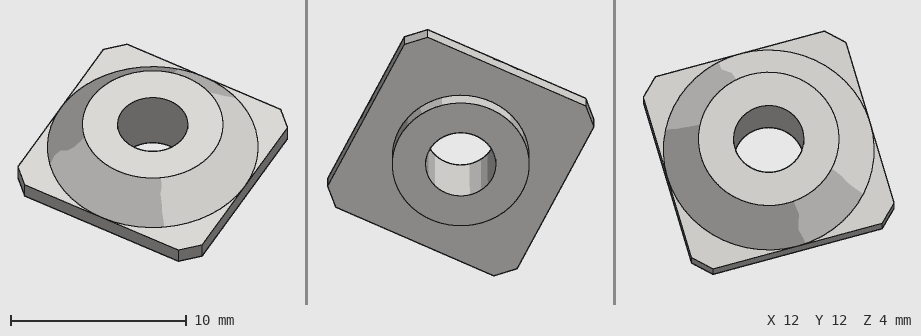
import cadquery as cq

plate_side = 12.0
plate_thickness = 1.0
corner_cut = 1.0

cone_base_diameter = plate_side
cone_top_diameter = 8.0
cone_height = (cone_base_diameter - cone_top_diameter) / 2

boss_diameter = 7.8
boss_height = plate_thickness
bore_diameter = cone_top_diameter / 2


def make_plate():
    """Plate standing on Z = 0, with its four vertical corners chamfered."""
    return (
        cq.Workplane("XY")
        .rect(plate_side, plate_side)
        .extrude(plate_thickness)
        .edges("|Z")
        .chamfer(corner_cut)
    )


def make_turned_body():
    """Boss, core and cone revolved about Z, with the bore left open."""
    bore_radius = bore_diameter / 2
    boss_radius = boss_diameter / 2
    top_z = plate_thickness + cone_height
    profile = [
        (bore_radius, -boss_height),
        (boss_radius, -boss_height),
        (boss_radius, plate_thickness),
        (cone_base_diameter / 2, plate_thickness),
        (cone_top_diameter / 2, top_z),
        (bore_radius, top_z),
    ]
    return cq.Workplane("XZ").polyline(profile).close().revolve(360, (0, 0), (0, 1))


def make_plate_bore():
    """Cylinder that clears the bore through the plate."""
    return cq.Workplane("XY").circle(bore_diameter / 2).extrude(plate_thickness)


result = make_plate().cut(make_plate_bore()).union(make_turned_body())